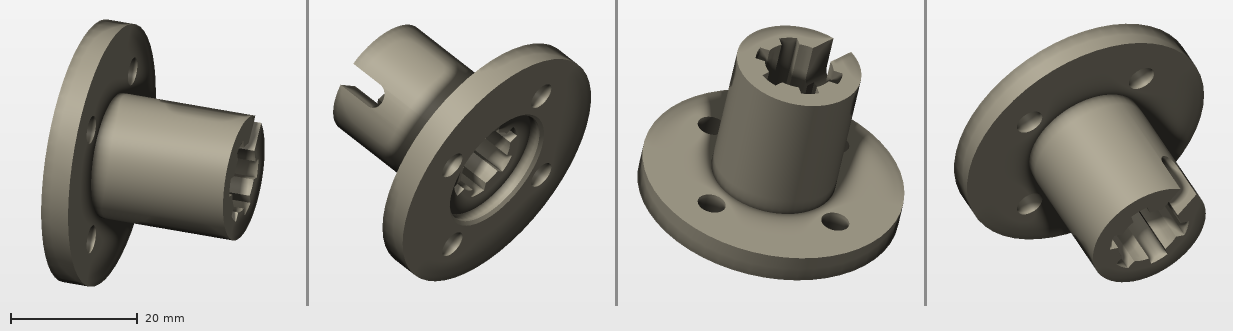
import cadquery as cq

FLANGE_DIAMETER = 42
FLANGE_THICKNESS = 4.5
HUB_DIAMETER = 20.0
TOTAL_LENGTH = 26.5

BOLT_HOLE_DIAMETER = 4.5
BOLT_CIRCLE_DIAMETER = 28.0
BOLT_HOLE_COUNT = 4
BOLT_START_ANGLE = 45

RECESS_DIAMETER = HUB_DIAMETER
RECESS_DEPTH = 2.5
RECESS_CHAMFER = 0.5

BORE_DIAMETER = 11.0
SPLINE_DIAMETER = 14.0
SPLINE_WIDTH = 3.0
SPLINE_COUNT = 6
SPLINE_START_ANGLE = 45

SLOT_WIDTH = 4.0
SLOT_LENGTH = 8.02
SLOT_ANGLE = 45


def cylinder(diameter, start, length):
    """Solid cylinder on the X axis."""
    return cq.Workplane("YZ", origin=(start, 0, 0)).circle(diameter / 2).extrude(length)


def bolt_holes():
    return (
        cq.Workplane("YZ")
        .polarArray(BOLT_CIRCLE_DIAMETER / 2, BOLT_START_ANGLE, 360, BOLT_HOLE_COUNT)
        .circle(BOLT_HOLE_DIAMETER / 2)
        .extrude(FLANGE_THICKNESS)
    )


def recess():
    pocket_radius = RECESS_DIAMETER / 2
    profile = (
        cq.Workplane("XY")
        .moveTo(0, 0)
        .lineTo(0, pocket_radius + RECESS_CHAMFER)
        .lineTo(RECESS_CHAMFER, pocket_radius)
        .lineTo(RECESS_DEPTH, pocket_radius)
        .lineTo(RECESS_DEPTH, 0)
        .close()
    )
    return profile.revolve(360, (0, 0, 0), (1, 0, 0))


def splined_bore():
    bore = cylinder(BORE_DIAMETER, 0, TOTAL_LENGTH)
    for index in range(SPLINE_COUNT):
        groove = (
            cq.Workplane("YZ")
            .center(SPLINE_DIAMETER / 2, 0)
            .rect(SPLINE_DIAMETER, SPLINE_WIDTH)
            .extrude(TOTAL_LENGTH)
            .rotate((0, 0, 0), (1, 0, 0), SPLINE_START_ANGLE + index * 360 / SPLINE_COUNT)
        )
        bore = bore.union(groove)
    return bore.intersect(cylinder(SPLINE_DIAMETER, 0, TOTAL_LENGTH))


def hub_slot():
    round_end_x = TOTAL_LENGTH - SLOT_LENGTH + SLOT_WIDTH / 2
    straight_length = TOTAL_LENGTH - round_end_x
    radial_height = HUB_DIAMETER / 2
    end = cq.Workplane("XY").center(round_end_x, 0).circle(SLOT_WIDTH / 2).extrude(radial_height)
    straight = (
        cq.Workplane("XY")
        .center(round_end_x + straight_length / 2, 0)
        .rect(straight_length, SLOT_WIDTH)
        .extrude(radial_height)
    )
    return end.union(straight).rotate((0, 0, 0), (1, 0, 0), SLOT_ANGLE - 90)


flange = cylinder(FLANGE_DIAMETER, 0, FLANGE_THICKNESS)
hub = cylinder(HUB_DIAMETER, 0, TOTAL_LENGTH)
result = flange.union(hub).cut(bolt_holes()).cut(recess()).cut(splined_bore()).cut(hub_slot())